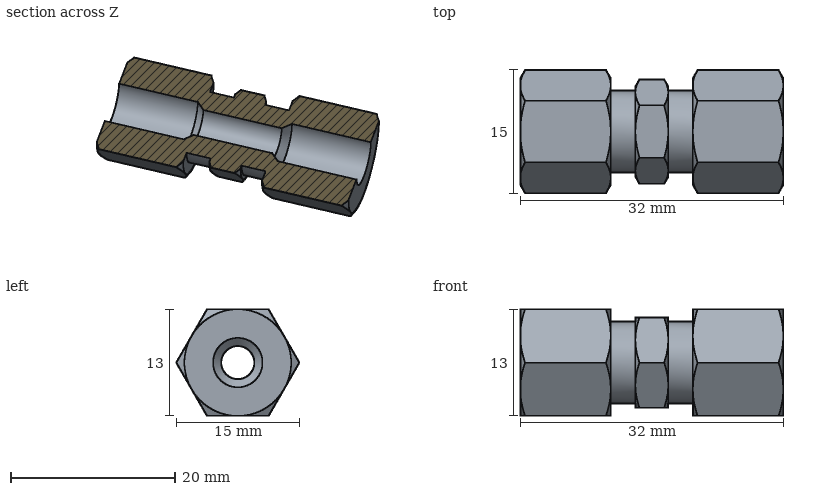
import cadquery as cq
import math

total_length = 32
nut_length = 11.0
nut_flats = 13.0
collar_length = 4.0
collar_flats = 11.0
body_diameter = 10.0
bore_diameter = 4.0
tube_diameter = 6.0
socket_depth = 10.0
seat_half_angle = 45
chamfer_angle = 30


def cylinder(diameter, length, start):
    return cq.Workplane("YZ", origin=(start, 0, 0)).circle(diameter / 2).extrude(length)


def chamfered_hex(flats, length, start):
    """Hexagon with corners on +Y/-Y, turned down to a flats-wide circle at both ends."""
    corners = flats / math.cos(math.radians(30))
    prism = cq.Workplane("YZ", origin=(start, 0, 0)).polygon(6, corners).extrude(length)
    end_radius = flats / 2
    corner_radius = corners / 2
    setback = (corner_radius - end_radius) * math.tan(math.radians(chamfer_angle))
    end = start + length
    turned_envelope = (
        cq.Workplane("XY")
        .moveTo(start, 0)
        .lineTo(start, end_radius)
        .lineTo(start + setback, corner_radius)
        .lineTo(end - setback, corner_radius)
        .lineTo(end, end_radius)
        .lineTo(end, 0)
        .close()
        .revolve(360, (0, 0, 0), (1, 0, 0))
    )
    return prism.intersect(turned_envelope)


def tube_socket():
    """Cutter for the -X end: straight socket closed by a conical seat."""
    outer_face = -total_length / 2
    tube_radius = tube_diameter / 2
    bore_radius = bore_diameter / 2
    seat_start = outer_face + socket_depth
    seat_length = (tube_radius - bore_radius) / math.tan(math.radians(seat_half_angle))
    seat_end = seat_start + seat_length
    return (
        cq.Workplane("XY")
        .moveTo(outer_face, 0)
        .lineTo(outer_face, tube_radius)
        .lineTo(seat_start, tube_radius)
        .lineTo(seat_end, bore_radius)
        .lineTo(seat_end, 0)
        .close()
        .revolve(360, (0, 0, 0), (1, 0, 0))
    )


body_length = total_length - nut_length
body = cylinder(body_diameter, body_length, -body_length / 2)
body = body.union(chamfered_hex(collar_flats, collar_length, -collar_length / 2))

for nut_start in (-total_length / 2, total_length / 2 - nut_length):
    body = body.union(chamfered_hex(nut_flats, nut_length, nut_start))

body = body.cut(cylinder(bore_diameter, total_length, -total_length / 2))
socket = tube_socket()
result = body.cut(socket).cut(socket.mirror("YZ"))